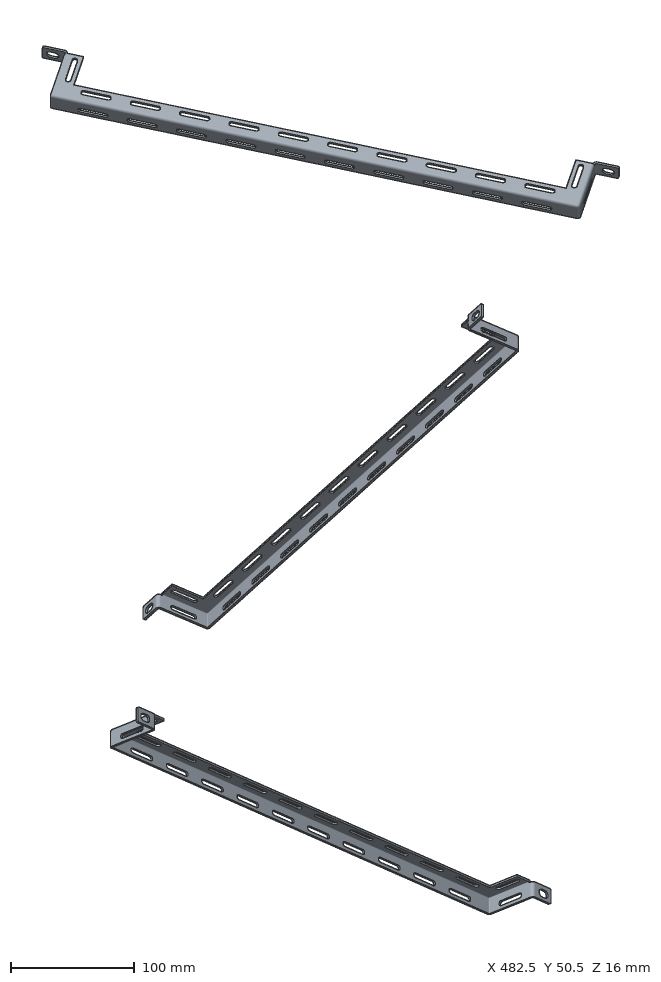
import cadquery as cq

total_width = 482.5
total_depth = 50.5
total_height = 16.0

sheet = 2.0
inner_bend = 0.5
outer_bend = inner_bend + sheet

body_width = 444.0
lip_width = 16.0
lip_back_gap = 4.5
body_half = body_width / 2
wall_height = total_height - outer_bend

ear_inner_bend = 1.0
ear_outer_bend = ear_inner_bend + sheet
ear_corner_radius = 1.5
ear_hole_spacing = 465.0
ear_hole_length = 10.0
ear_hole_height = 6.8
ear_hole_z = 6.5

slot_length = 25.0
slot_width = 4.5
slot_count = 10
slot_row_span = 371.5
slot_pitch = slot_row_span / (slot_count - 1)
wall_slot_z = 5.5
lip_slot_edge = 6.0
lip_end_y = total_depth - lip_back_gap
side_wall_slot_y = total_depth / 2
side_lip_slot_y = 30.5

lip_inner_half = body_half - lip_width
ear_bend_y = total_depth - ear_outer_bend


def block(x_min, x_max, y_min, y_max, z_min, z_max):
    """Box given by its limits along each axis."""
    size = (x_max - x_min, y_max - y_min, z_max - z_min)
    return cq.Workplane("XY").box(*size, centered=False).translate((x_min, y_min, z_min))


def rounded_tray(inset, radius):
    """Tray with a rounded top and rounded front corners, inset on the front, side and top faces."""
    half = body_half - inset
    tray = block(-half, half, inset, ear_bend_y, 0, total_height - inset)
    return tray.edges("(|Z and <Y) or (>Z and (not >Y))").fillet(radius)


def make_channel():
    """Folded front and side walls with an inward lip along the top."""
    channel = rounded_tray(0, outer_bend).cut(rounded_tray(sheet, inner_bend))
    opening = block(-lip_inner_half, lip_inner_half, lip_width, total_depth, 0, total_height)
    lip_end = block(-body_half, body_half, lip_end_y, total_depth, wall_height, total_height)
    return channel.cut(opening).cut(lip_end)


def make_left_ear():
    """Outward bend at the back of the left side wall and the flat ear beyond it."""
    bend_x = -body_half - ear_inner_bend
    ear_front_y = total_depth - sheet
    ear = (
        cq.Workplane("XY")
        .moveTo(-total_width / 2, total_depth)
        .lineTo(bend_x, total_depth)
        .radiusArc((bend_x + ear_outer_bend, ear_bend_y), ear_outer_bend)
        .lineTo(-body_half, ear_bend_y)
        .radiusArc((bend_x, ear_front_y), -ear_inner_bend)
        .lineTo(-total_width / 2, ear_front_y)
        .close()
        .extrude(wall_height)
    )
    ear = ear.edges("|Y and <X").fillet(ear_corner_radius)
    hole = (
        cq.Workplane("XZ")
        .center(-ear_hole_spacing / 2, ear_hole_z)
        .slot2D(ear_hole_length, ear_hole_height)
        .extrude(-total_depth)
    )
    return ear.cut(hole)


def front_slots():
    """Rows of slots through the front wall and the front lip."""
    wall_row = (
        cq.Workplane("XZ", origin=(0, 0, wall_slot_z))
        .rarray(slot_pitch, 5, slot_count, 1)
        .slot2D(slot_length, slot_width)
        .extrude(-lip_width)
    )
    lip_row = (
        cq.Workplane("XY", origin=(0, lip_width - lip_slot_edge, wall_height))
        .rarray(slot_pitch, 5, slot_count, 1)
        .slot2D(slot_length, slot_width)
        .extrude(outer_bend)
    )
    return wall_row.union(lip_row)


def side_slots():
    """One slot through each side wall and one through each side lip."""
    wall_slots = (
        cq.Workplane("YZ", origin=(-body_half, side_wall_slot_y, wall_slot_z))
        .slot2D(slot_length, slot_width)
        .extrude(body_width)
    )
    lip_slot_x = lip_inner_half + lip_slot_edge
    lip_slots = (
        cq.Workplane("XY", origin=(0, side_lip_slot_y, wall_height))
        .rarray(2 * lip_slot_x, 5, 2, 1)
        .slot2D(slot_length, slot_width, 90)
        .extrude(outer_bend)
    )
    return wall_slots.union(lip_slots)


left_ear = make_left_ear()
right_ear = left_ear.mirror("YZ")
result = make_channel().cut(front_slots()).cut(side_slots()).union(left_ear).union(right_ear)